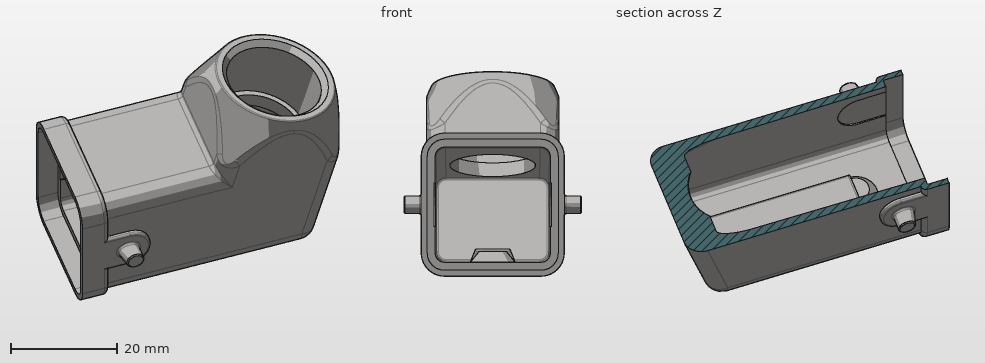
import cadquery as cq
import math


SECTION = 25.05
SECTION_RADIUS = 3.5
HALF = SECTION / 2

NECK_TILT = 15
RIM_Y = 43.0
RIM_Z = 22.15
RIM_RADIUS = 11.6
RIM_ROUND = 0.25
CONE_ANGLE = 23
CONE_LENGTH = 32.7
CONE_EDGE_ROUND = 1.95
THROAT_ROUND = 1.0

COLLAR = 27.0
COLLAR_LENGTH = 5.3
COLLAR_RADIUS = 4.4
COLLAR_ROUND = 0.9
SEAT_LIP = 1.15
SEAT_DEPTH = 3.9

CAVITY_MOUTH = 21.75
CAVITY_TAPER = 0.4
CAVITY_RADIUS = 1.75
CAVITY_END_ROUND = 0.3
BACK_WALL = 3.15
CEILING_DEPTH = 15.25

BORE_RADIUS = 9.2
BORE_DEPTH = 12.6
BORE_CHAMFER = 1.1
THROUGH_RADIUS = 8.05
BORE_OVERRUN = 1.1

PIN_Y = 9.55
TAB_RADIUS = 4.1
TAB_ROUND = 0.5
PIN_RADIUS = 1.7
PIN_SPAN = 33.4
PIN_FLARE = 0.8
PIN_TIP_CHAMFER = 0.2
PIN_ROOT_ROUND = 0.4
RELIEF_DEPTH = 0.2

RIDGE_BASE = 8.5
RIDGE_TOP = 6.45
RIDGE_HEIGHT = 2.55
RIDGE_Y = 13.9
RIDGE_ROUND = 0.45
NOSE_TOP_RADIUS = 2.55
NOSE_HEIGHT = 2.05

tilt = math.radians(NECK_TILT)

rim_plane = cq.Plane(
    origin=(0, RIM_Y, RIM_Z), xDir=(1, 0, 0), normal=(0, math.sin(tilt), math.cos(tilt))
)


def neck_point(across, depth):
    """(Y, Z) at a distance behind the neck axis and a depth below the rim."""
    return (
        RIM_Y + across * math.cos(tilt) - depth * math.sin(tilt),
        RIM_Z - across * math.sin(tilt) - depth * math.cos(tilt),
    )


def neck_depth(across, z):
    """Depth below the rim at which a line parallel to the neck axis reaches height z."""
    return (RIM_Z - across * math.sin(tilt) - z) / math.cos(tilt)


def square_bar(size, radius, length):
    """Square bar along +Y from the mouth, with rounded long edges."""
    bar = cq.Workplane("XZ").rect(size, size).extrude(-length)
    return bar.edges("|Y").fillet(radius)


def side_prism(points, width):
    """Prism centred across X, from a (Y, Z) outline."""
    return cq.Workplane("YZ").polyline(points).close().extrude(width / 2, both=True)


heel = neck_point(HALF, neck_depth(HALF, -HALF))
throat = neck_point(-HALF, neck_depth(-HALF, HALF))


def leg_bar():
    bar = square_bar(SECTION, SECTION_RADIUS, heel[0])
    return bar.intersect(side_prism([(0, -HALF), heel, throat, (0, HALF)], SECTION))


def neck_bar():
    bar = cq.Workplane(rim_plane).rect(SECTION, SECTION).extrude(-neck_depth(HALF, -HALF))
    bar = bar.edges(cq.selectors.ParallelDirSelector(rim_plane.zDir)).fillet(SECTION_RADIUS)
    cone = cq.Workplane(rim_plane).circle(RIM_RADIUS).extrude(-CONE_LENGTH, taper=-CONE_ANGLE)
    bar = bar.intersect(cone)
    bar = bar.edges("%HYPERBOLA or %BSPLINE").fillet(CONE_EDGE_ROUND)
    bar = bar.faces(cq.selectors.DirectionMinMaxSelector(rim_plane.zDir)).edges().fillet(RIM_ROUND)
    outline = [heel, neck_point(HALF, 0), neck_point(-HALF, 0), throat]
    return bar.intersect(side_prism(outline, SECTION))


def elbow():
    body = leg_bar().union(neck_bar())
    for corner, radius in ((heel, SECTION_RADIUS), (throat, THROAT_ROUND)):
        body = body.edges(cq.selectors.NearestToPointSelector((0, *corner))).fillet(radius)
    return body


def collar():
    return square_bar(COLLAR, COLLAR_RADIUS, COLLAR_LENGTH).faces(">Y").edges().fillet(COLLAR_ROUND)


def stadium(start, depth):
    """Slot shape from Y = start to a round end about the pin, from X = 0 outward."""
    straight = cq.Workplane("YZ").center((start + PIN_Y) / 2, 0).rect(PIN_Y - start, 2 * TAB_RADIUS)
    round_end = cq.Workplane("YZ").center(PIN_Y, 0).circle(TAB_RADIUS)
    return straight.extrude(depth).union(round_end.extrude(depth))


def latch():
    tab_face = COLLAR / 2
    tab = stadium(COLLAR_LENGTH / 2, tab_face).faces(">X").edges().fillet(TAB_ROUND)
    pin = (
        cq.Workplane("YZ", origin=(tab_face, PIN_Y - PIN_FLARE / 2, 0))
        .ellipse(PIN_RADIUS + PIN_FLARE / 2, PIN_RADIUS)
        .workplane(offset=PIN_SPAN / 2 - tab_face)
        .center(PIN_FLARE / 2, 0)
        .circle(PIN_RADIUS)
        .loft()
    )
    pin = pin.faces(">X").edges().chamfer(PIN_TIP_CHAMFER)
    root = cq.selectors.BoxSelector(
        (tab_face - PIN_RADIUS, PIN_Y - 2 * PIN_RADIUS, -PIN_RADIUS),
        (tab_face + PIN_ROOT_ROUND, PIN_Y + PIN_RADIUS, PIN_RADIUS),
    )
    return tab.union(pin).edges(root).edges("%ELLIPSE or %BSPLINE").fillet(PIN_ROOT_ROUND)


def floor_ridge():
    """Trapezoid ridge with a conical nose, running into the back wall."""
    floor = -CAVITY_MOUTH / 2
    ridge_end = heel[0]
    outline = [
        (-RIDGE_BASE / 2, 0),
        (RIDGE_BASE / 2, 0),
        (RIDGE_TOP / 2, RIDGE_HEIGHT),
        (-RIDGE_TOP / 2, RIDGE_HEIGHT),
    ]
    ridge = cq.Workplane("XZ", origin=(0, RIDGE_Y, floor)).polyline(outline).close()
    ridge = ridge.extrude(RIDGE_Y - ridge_end).faces(">Z").edges("|Y or <Y").fillet(RIDGE_ROUND)
    nose = cq.Solid.makeCone(RIDGE_BASE / 2, NOSE_TOP_RADIUS, NOSE_HEIGHT, cq.Vector(0, RIDGE_Y, floor))
    return ridge.union(cq.Workplane(nose))


def cavity():
    """Leg cavity closed by the leaning back wall and by a ceiling square to the neck axis."""
    overlong = heel[0] + SECTION
    bar = cq.Workplane("XZ").rect(CAVITY_MOUTH, CAVITY_MOUTH).extrude(-overlong, taper=CAVITY_TAPER)
    back = HALF - BACK_WALL
    outline = [
        (0, -HALF),
        neck_point(back, neck_depth(back, -HALF)),
        neck_point(back, CEILING_DEPTH),
        neck_point(-2 * SECTION, CEILING_DEPTH),
        (0, SECTION),
    ]
    hollow = bar.intersect(side_prism(outline, SECTION))
    back_face = cq.selectors.DirectionMinMaxSelector(cq.Vector(0, math.cos(tilt), -math.sin(tilt)))
    side_edges = hollow.faces("<X or >X").edges("not <Y").vals()
    back_edges = hollow.faces(back_face).edges().vals()
    hollow = hollow.newObject([edge for edge in side_edges if edge not in back_edges]).fillet(CAVITY_RADIUS)
    hollow = hollow.faces(back_face).edges().fillet(CAVITY_END_ROUND)
    relief = stadium(0, CAVITY_MOUTH / 2 + RELIEF_DEPTH)
    hollow = hollow.union(relief).union(relief.mirror("YZ")).cut(floor_ridge())
    return hollow.union(square_bar(COLLAR - 2 * SEAT_LIP, COLLAR_RADIUS - SEAT_LIP, SEAT_DEPTH))


def bore():
    rim = cq.Workplane(rim_plane)
    through = rim.circle(THROUGH_RADIUS).extrude(-CEILING_DEPTH - BORE_OVERRUN)
    counterbore = rim.circle(BORE_RADIUS).extrude(-BORE_DEPTH)
    chamfer = rim.circle(BORE_RADIUS + BORE_CHAMFER).extrude(-BORE_CHAMFER, taper=45)
    return through.union(counterbore).union(chamfer)


side_latch = latch()
shell = elbow().union(collar()).union(side_latch).union(side_latch.mirror("YZ"))
result = shell.cut(cavity()).cut(bore())